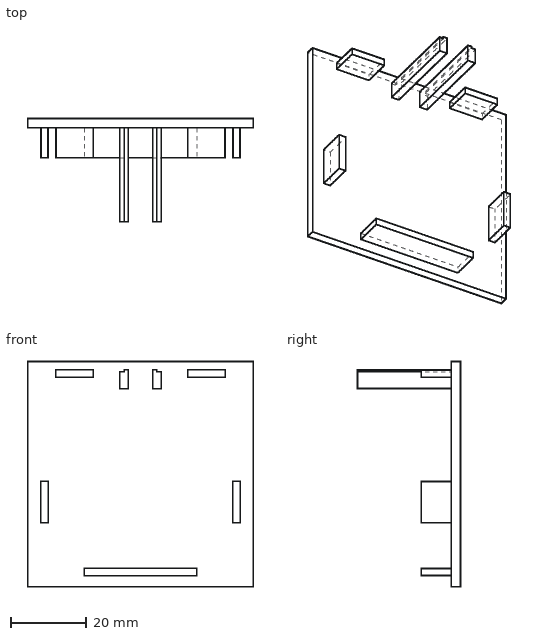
import cadquery as cq

plate_side = 60.0
plate_thickness = 2.5
half_side = plate_side / 2

tab_length = 8.0
tab_thickness = 2.0
top_tab_width = 10.0
top_tab_offset = 17.5
side_tab_height = 11.0
side_tab_center_z = -7.45
side_tab_gap = 3.5
bottom_tab_width = 30.0
bottom_tab_gap = 3.0

total_depth = 27.5
rail_length = total_depth - plate_thickness
rail_inner_x = 3.25
rail_width = 2.3
rail_height = 5.0
step_width = rail_width / 2
step_depth = 0.5
top_gap = 2.3


def make_tab(width, height, center_x, center_z):
    """Rectangular tab projecting forward from the plate."""
    return (
        cq.Workplane("XZ")
        .center(center_x, center_z)
        .rect(width, height)
        .extrude(tab_length)
    )


def make_rail(side):
    """Rail with a stepped outer top corner; side is -1 (left) or 1 (right)."""
    top = half_side - top_gap
    bottom = top - rail_height
    inner = side * rail_inner_x
    outer = side * (rail_inner_x + rail_width)
    step = outer - side * step_width
    return (
        cq.Workplane("XZ")
        .moveTo(inner, bottom)
        .lineTo(inner, top)
        .lineTo(step, top)
        .lineTo(step, top - step_depth)
        .lineTo(outer, top - step_depth)
        .lineTo(outer, bottom)
        .close()
        .extrude(rail_length)
    )


result = cq.Workplane("XZ").rect(plate_side, plate_side).extrude(-plate_thickness)

top_tab_z = half_side - top_gap - tab_thickness / 2
side_tab_x = half_side - side_tab_gap - tab_thickness / 2
bottom_tab_z = -half_side + bottom_tab_gap + tab_thickness / 2

for side in (-1, 1):
    result = result.union(make_tab(top_tab_width, tab_thickness, side * top_tab_offset, top_tab_z))
    result = result.union(make_tab(tab_thickness, side_tab_height, side * side_tab_x, side_tab_center_z))
    result = result.union(make_rail(side))

result = result.union(make_tab(bottom_tab_width, tab_thickness, 0, bottom_tab_z))